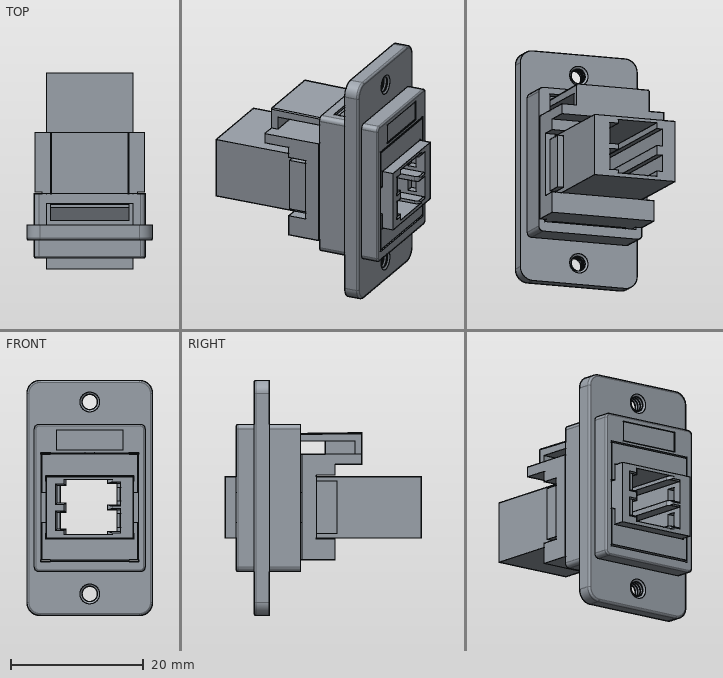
import cadquery as cq


FLANGE_WIDTH = 19.0
FLANGE_HEIGHT = 35.5
FLANGE_THICKNESS = 2.3
FLANGE_CORNER = 2.0
FLANGE_EDGE_ROUND = 0.32
HOUSING_WIDTH = 16.75
HOUSING_HEIGHT = 22.22
HOUSING_CORNER = 0.7
HOUSING_EDGE_ROUND = 0.25
HOUSING_FRONT = -2.7
HOUSING_BACK = 7.03

SCREW_OFFSET = 14.5
THREAD_MINOR_DIAMETER = 2.27
THREAD_MAJOR_DIAMETER = 2.98
THREAD_GROOVES = 4
THREAD_CREST = 0.15

LABEL_WIDTH = 10.0
LABEL_BOTTOM = 7.25
LABEL_TOP = 10.3
LABEL_DEPTH = 0.2

OPENING_WIDTH = 14.77
OPENING_BOTTOM = -9.62
OPENING_TOP = 6.8
LATCH_BAY_WIDTH = 13.05
LATCH_BAY_TOP = 10.2
LATCH_WINDOW_BACK = 5.5

INSERT_FRONT = HOUSING_FRONT
INSERT_BOTTOM = -9.35
INSERT_TOP = 6.6
NECK_WIDTH = 14.5
SHOULDER_WIDTH = 16.55
SHOULDER_FRONT = 7.25
SEAT_Y = 9.4
CLAMP_BACK = 12.25
SHELF_BACK = 16.25
SHELF_BOTTOM = 5.08
SEAT_TOP = 3.45
SIDE_NOTCH_BOTTOM = -3.7
SIDE_NOTCH_TOP = 0.8
BORE_CLEARANCE = 0.1

LATCH_WIDTH = 11.85
ARM_BOTTOM = 8.6
ARM_TOP_BACK = 9.87
ARM_TOP_FRONT = 9.73
ARM_EDGE_CHAMFER = 0.18
WEB_THICKNESS = 1.05
RIB_WIDTH = 1.42
RIB_FRONT = 10.72
HOOK_TIP = 2.98
HOOK_CREST_FRONT = 4.95
HOOK_BACK = 5.4
HOOK_TOP = 10.85
HOOK_TIP_TOP = 9.65
WEDGE_FRONT = 4.25
WEDGE_LENGTH = 2.13

COUPLER_WIDTH = 13.05
COUPLER_BOTTOM = -6.07
COUPLER_TOP = 3.23
COUPLER_FRONT = -4.35
COUPLER_LENGTH = 29.6
COUPLER_BACK = COUPLER_FRONT + COUPLER_LENGTH
STOP_WIDTH = 14.98
STOP_BACK = 12.5
STOP_BOTTOM = -5.4
STOP_TOP = 2.6

CHANNEL_LEFT = -3.55
CHANNEL_RIGHT = 2.65
CHANNEL_BOTTOM = -5.5
CHANNEL_TOP = 2.77
LEAD_IN = 0.2
CHANNEL_LEAD_IN = 0.32
RIDGE_TIP_RADIUS = 0.78

KEY_LEFT = -4.97
KEY_THROUGH_LEFT = -4.45
KEY_RANGES = [(-4.7, -2.15), (-0.75, 1.88)]

LATCH_SLOT_RIGHT = 4.65
LATCH_SLOT_THROUGH_RIGHT = 4.1
LATCH_SLOT_END = 7.1
LATCH_SLOT_RANGES = [(-5.05, -1.8), (-1.03, 2.2)]
CATCH_RANGES = [(-4.47, -2.38), (-0.43, 1.55)]
CATCH_FRONT = -2.85
CATCH_BACK = -1.5
CATCH_RIGHT = 5.85
CATCH_RELIEF_RIGHT = 4.55
CATCH_RELIEF_BACK = 7.45


def block(x_range, y_range, z_range):
    """Box between the given limits along each axis."""
    (x0, x1), (y0, y1), (z0, z1) = x_range, y_range, z_range
    return cq.Workplane("XY").box(x1 - x0, y1 - y0, z1 - z0, centered=False).translate((x0, y0, z0))


def centred_block(width, y_range, z_range):
    """Box that is symmetric about the plane x = 0."""
    return block((-width / 2, width / 2), y_range, z_range)


def side_profile(points, width):
    """Prism of a (y, z) outline, symmetric about the plane x = 0."""
    return cq.Workplane("YZ").polyline(points).close().extrude(width / 2, both=True)


def flared_mouth(x_range, z_range, left_flare, z_flare):
    """Lead-in at the coupler front that narrows to the given opening over the lead-in depth."""
    (x0, x1), (z0, z1) = x_range, z_range

    def rectangle(y, grow):
        left = x0 - grow * left_flare
        low = z0 - grow * z_flare
        high = z1 + grow * z_flare
        corners = [(left, y, low), (x1, y, low), (x1, y, high), (left, y, high)]
        return cq.Wire.makePolygon([cq.Vector(*corner) for corner in corners], close=True)

    front = rectangle(COUPLER_FRONT, 1)
    back = rectangle(COUPLER_FRONT + LEAD_IN, 0)
    return cq.Workplane(obj=cq.Solid.makeLoft([front, back], True))


def rounded_plate(width, height, y_range, corner, edge_round):
    """Upright plate with round corners and a rounded front edge."""
    plate = centred_block(width, y_range, (-height / 2, height / 2))
    return plate.edges("|Y").fillet(corner).faces("<Y").edges().fillet(edge_round)


def threaded_hole(z):
    """Cutter for a screw hole whose wall carries V-shaped thread grooves."""
    minor = THREAD_MINOR_DIAMETER / 2
    major = THREAD_MAJOR_DIAMETER / 2
    pitch = FLANGE_THICKNESS / THREAD_GROOVES
    profile = cq.Workplane("XY").moveTo(0, 0).lineTo(major, 0)
    for groove in range(THREAD_GROOVES):
        crest_middle = (groove + 0.5) * pitch
        profile = (
            profile.lineTo(minor, crest_middle - THREAD_CREST / 2)
            .lineTo(minor, crest_middle + THREAD_CREST / 2)
            .lineTo(major, (groove + 1) * pitch)
        )
    cutter = profile.lineTo(0, FLANGE_THICKNESS).close().revolve(360, (0, 0, 0), (0, 1, 0))
    return cutter.translate((0, 0, z))


def make_housing():
    body = rounded_plate(
        HOUSING_WIDTH, HOUSING_HEIGHT, (HOUSING_FRONT, HOUSING_BACK), HOUSING_CORNER, HOUSING_EDGE_ROUND
    )
    flange = rounded_plate(
        FLANGE_WIDTH, FLANGE_HEIGHT, (0, FLANGE_THICKNESS), FLANGE_CORNER, FLANGE_EDGE_ROUND
    )
    housing = body.union(flange)
    for z in (-SCREW_OFFSET, SCREW_OFFSET):
        housing = housing.cut(threaded_hole(z))

    label = (HOUSING_FRONT, HOUSING_FRONT + LABEL_DEPTH)
    opening = (HOUSING_FRONT, HOUSING_BACK)
    latch_bay = (FLANGE_THICKNESS, HOUSING_BACK)
    latch_window = (FLANGE_THICKNESS, LATCH_WINDOW_BACK)
    housing = housing.cut(centred_block(LABEL_WIDTH, label, (LABEL_BOTTOM, LABEL_TOP)))
    housing = housing.cut(centred_block(OPENING_WIDTH, opening, (OPENING_BOTTOM, OPENING_TOP)))
    housing = housing.cut(centred_block(LATCH_BAY_WIDTH, latch_bay, (INSERT_TOP, LATCH_BAY_TOP)))
    return housing.cut(centred_block(LATCH_BAY_WIDTH, latch_window, (LATCH_BAY_TOP, HOUSING_HEIGHT / 2)))


def latch():
    """Sprung arm with its rear web, stiffening rib and front hook."""
    web_front = SHELF_BACK - WEB_THICKNESS
    arm = side_profile(
        [
            (HOOK_CREST_FRONT, ARM_BOTTOM),
            (SHELF_BACK, ARM_BOTTOM),
            (SHELF_BACK, ARM_TOP_BACK),
            (HOOK_CREST_FRONT, ARM_TOP_FRONT),
        ],
        LATCH_WIDTH,
    )
    long_top_edges = arm.faces(">Z").edges("<X or >X")
    arm = long_top_edges.chamfer(ARM_EDGE_CHAMFER)
    hook = side_profile(
        [
            (HOOK_TIP, ARM_BOTTOM),
            (HOOK_BACK, ARM_BOTTOM),
            (HOOK_BACK, HOOK_TOP),
            (HOOK_CREST_FRONT, HOOK_TOP),
            (HOOK_TIP, HOOK_TIP_TOP),
        ],
        LATCH_WIDTH,
    )
    web = centred_block(LATCH_WIDTH, (web_front, SHELF_BACK), (INSERT_TOP, ARM_BOTTOM))
    rib = centred_block(RIB_WIDTH, (RIB_FRONT, web_front), (INSERT_TOP, ARM_BOTTOM))
    return arm.union(hook).union(web).union(rib)


def make_insert():
    bore_bottom = COUPLER_BOTTOM - BORE_CLEARANCE
    bore_top = COUPLER_TOP + BORE_CLEARANCE
    neck = centred_block(NECK_WIDTH, (INSERT_FRONT, SHOULDER_FRONT), (INSERT_BOTTOM, INSERT_TOP))
    shoulder = side_profile(
        [
            (SHOULDER_FRONT, INSERT_BOTTOM),
            (CLAMP_BACK, INSERT_BOTTOM),
            (CLAMP_BACK, bore_bottom),
            (SEAT_Y, bore_bottom),
            (SEAT_Y, SEAT_TOP),
            (CLAMP_BACK, SEAT_TOP),
            (CLAMP_BACK, SHELF_BOTTOM),
            (SHELF_BACK, SHELF_BOTTOM),
            (SHELF_BACK, INSERT_TOP),
            (SHOULDER_FRONT, INSERT_TOP),
        ],
        SHOULDER_WIDTH,
    )
    wedge = side_profile(
        [
            (WEDGE_FRONT, INSERT_BOTTOM),
            (WEDGE_FRONT + WEDGE_LENGTH, INSERT_BOTTOM),
            (WEDGE_FRONT + WEDGE_LENGTH, OPENING_BOTTOM),
        ],
        LATCH_WIDTH,
    )
    bore = centred_block(
        COUPLER_WIDTH + 2 * BORE_CLEARANCE, (INSERT_FRONT, SEAT_Y), (bore_bottom, bore_top)
    )
    side_notches = centred_block(
        NECK_WIDTH, (INSERT_FRONT, SHOULDER_FRONT), (SIDE_NOTCH_BOTTOM, SIDE_NOTCH_TOP)
    )
    return neck.union(shoulder).union(wedge).union(latch()).cut(bore).cut(side_notches)


def central_channel():
    """Through channel with a flared left edge and round tips on the right-hand ridges."""
    z_range = (CHANNEL_BOTTOM, CHANNEL_TOP)
    x_range = (CHANNEL_LEFT, CHANNEL_RIGHT)
    channel = block(x_range, (COUPLER_FRONT, COUPLER_BACK), z_range)
    tip_end = COUPLER_FRONT + RIDGE_TIP_RADIUS
    tip_block = block((CHANNEL_RIGHT, CHANNEL_RIGHT + RIDGE_TIP_RADIUS), (COUPLER_FRONT, tip_end), z_range)
    tip_round = (
        cq.Workplane("XY", origin=(CHANNEL_RIGHT + RIDGE_TIP_RADIUS, tip_end, CHANNEL_BOTTOM))
        .circle(RIDGE_TIP_RADIUS)
        .extrude(CHANNEL_TOP - CHANNEL_BOTTOM)
    )
    mouth = flared_mouth(x_range, z_range, CHANNEL_LEAD_IN, 0)
    return channel.union(tip_block.cut(tip_round)).union(mouth)


def key_slot(z_range):
    """Left-hand slot with a flared mouth and a narrower part that runs right through."""
    through = block((KEY_THROUGH_LEFT, CHANNEL_LEFT), (COUPLER_FRONT, COUPLER_BACK), z_range)
    return through.union(flared_mouth((KEY_LEFT, CHANNEL_LEFT), z_range, LEAD_IN, LEAD_IN))


def latch_slot(z_range, catch_range):
    """Right-hand slot with a side pocket that catches the latch of a plug."""
    through_x = (CHANNEL_RIGHT, LATCH_SLOT_THROUGH_RIGHT)
    deep_x = (CHANNEL_RIGHT, LATCH_SLOT_RIGHT)
    catch_x = (CHANNEL_RIGHT, CATCH_RIGHT)
    relief_x = (CHANNEL_RIGHT, CATCH_RELIEF_RIGHT)
    slot = block(through_x, (COUPLER_FRONT, COUPLER_BACK), z_range)
    slot = slot.union(block(deep_x, (COUPLER_FRONT, LATCH_SLOT_END), z_range))
    slot = slot.union(block(catch_x, (CATCH_FRONT, CATCH_BACK), catch_range))
    slot = slot.union(block(relief_x, (LATCH_SLOT_END, CATCH_RELIEF_BACK), catch_range))
    return slot.union(flared_mouth(deep_x, z_range, 0, LEAD_IN))


def make_coupler():
    coupler = centred_block(COUPLER_WIDTH, (COUPLER_FRONT, COUPLER_BACK), (COUPLER_BOTTOM, COUPLER_TOP))
    coupler = coupler.union(centred_block(STOP_WIDTH, (SEAT_Y, STOP_BACK), (STOP_BOTTOM, STOP_TOP)))
    coupler = coupler.cut(central_channel())
    for z_range in KEY_RANGES:
        coupler = coupler.cut(key_slot(z_range))
    for z_range, catch_range in zip(LATCH_SLOT_RANGES, CATCH_RANGES):
        coupler = coupler.cut(latch_slot(z_range, catch_range))
    return coupler


housing = make_housing()
insert = make_insert()
coupler = make_coupler()

result = cq.Compound.makeCompound([housing.solids().val(), insert.solids().val(), coupler.solids().val()])